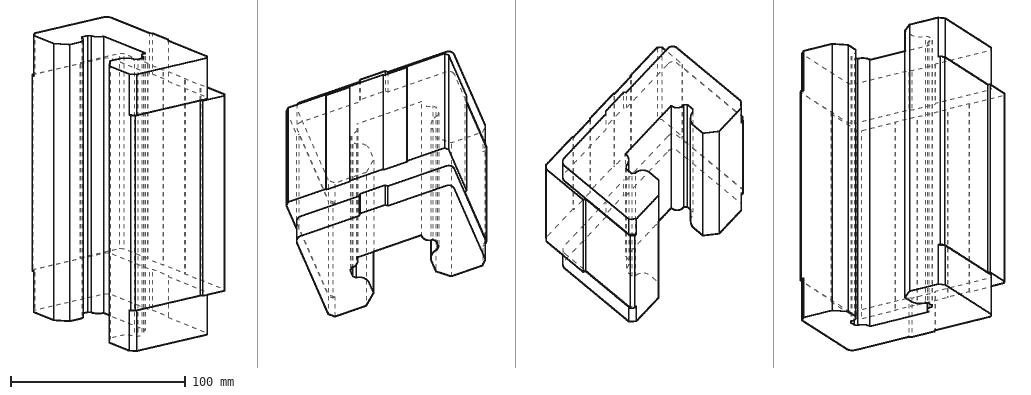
import cadquery as cq


total_length = 167.0
block_length = 117.7
block_width = 100.0
total_height = 67.0

lower_width = 97.5
block_chamfer = 1.8
left_shoulder_height = 36.7
right_shoulder_height = 49.5
shoulder_rise = 0.7
relief_inner = 10.4
relief_outer = 25.0
relief_depth = 0.5

cap_width = 97.0
cap_height = 55.8
cap_chamfer = 3.0
cap_fillet = 3.5
pad_width = 17.7
pad_rise = 1.2

roof_height = 31.0
roof_half_width = 19.9
lip_half_width = 19.2
mouth_half_width = 26.2
mouth_height = 6.2
lip_top_height = 13.9
lower_lobe_middle = (21.2, 17.5)
upper_lobe_middle = (21.2, 27.4)
upper_lobe_top_height = 30.2
slot_centre_height = 22.5
slot_height = 7.0
slot_half_width = 26.4
slot_neck_half_width = 24.0
slot_chamfer = 1.5

half_width = block_width / 2
lower_half_width = lower_width / 2
cap_length = (total_length - block_length) / 2


def make_block():
    """Block with chamfered corners, a shoulder on each side and two shallow reliefs on top."""
    outline = [
        (-lower_half_width + block_chamfer, 0),
        (lower_half_width - block_chamfer, 0),
        (lower_half_width, block_chamfer),
        (lower_half_width, right_shoulder_height - shoulder_rise),
        (half_width, right_shoulder_height),
        (half_width, total_height - block_chamfer),
        (half_width - block_chamfer, total_height),
        (-half_width + block_chamfer, total_height),
        (-half_width, total_height - block_chamfer),
        (-half_width, left_shoulder_height),
        (-lower_half_width, left_shoulder_height - shoulder_rise),
        (-lower_half_width, block_chamfer),
    ]
    block = cq.Workplane("XY").workplane(offset=cap_length).polyline(outline).close().extrude(block_length)

    relief_centre = (relief_inner + relief_outer) / 2
    reliefs = (
        cq.Workplane("XY")
        .workplane(offset=cap_length)
        .pushPoints([(side * relief_centre, total_height) for side in (-1, 1)])
        .rect(relief_outer - relief_inner, 2 * relief_depth)
        .extrude(block_length)
    )
    return block.cut(reliefs)


def make_cap(base_z):
    """End cap with chamfered lower corners, rounded upper corners and a raised pad."""
    cap = (
        cq.Workplane("XY")
        .workplane(offset=base_z)
        .rect(cap_width, cap_height)
        .extrude(cap_length)
        .translate((0, cap_height / 2, 0))
    )
    cap = cap.edges("|Z and <Y").chamfer(cap_chamfer)
    cap = cap.edges("|Z and >Y").fillet(cap_fillet)

    pad_outline = [
        (-pad_width / 2, cap_height),
        (pad_width / 2, cap_height),
        (pad_width / 2 - pad_rise, cap_height + pad_rise),
        (-pad_width / 2 + pad_rise, cap_height + pad_rise),
    ]
    pad = cq.Workplane("XY").workplane(offset=base_z).polyline(pad_outline).close().extrude(cap_length)
    return cap.union(pad)


def make_channel():
    """Rail channel: a flared mouth, rounded lobes and a chamfered slot on each side, mirrored about X = 0."""
    slot_bottom = slot_centre_height - slot_height / 2
    slot_top = slot_centre_height + slot_height / 2
    half = (
        cq.Workplane("XY")
        .moveTo(0, 0)
        .lineTo(mouth_half_width, 0)
        .lineTo(lip_half_width, mouth_height)
        .lineTo(lip_half_width, lip_top_height)
        .threePointArc(lower_lobe_middle, (slot_neck_half_width, slot_bottom))
        .lineTo(slot_half_width - slot_chamfer, slot_bottom)
        .lineTo(slot_half_width, slot_bottom + slot_chamfer)
        .lineTo(slot_half_width, slot_top - slot_chamfer)
        .lineTo(slot_half_width - slot_chamfer, slot_top)
        .lineTo(slot_neck_half_width, slot_top)
        .threePointArc(upper_lobe_middle, (roof_half_width, upper_lobe_top_height))
        .lineTo(roof_half_width, roof_height)
        .lineTo(0, roof_height)
        .close()
        .extrude(total_length)
    )
    return half.union(half.mirror("YZ"))


body = make_block()
for base_z in (0, total_length - cap_length):
    body = body.union(make_cap(base_z))

result = body.cut(make_channel())